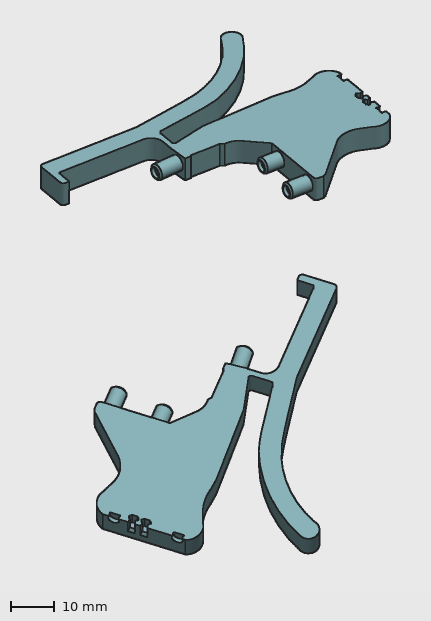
import cadquery as cq
import math

LENGTH = 77.55
THICKNESS = 6.1

LEG_LEFT = 19.55
LEG_WIDTH = 5.0
LEG_RIGHT = LEG_LEFT + LEG_WIDTH
LEG_TOP = 27.0
FOOT_TIP = 28.8
FOOT_HEIGHT = 1.9
FOOT_CORNER = 0.9
FOOT_INNER_CORNER = 0.5

WEB_BOTTOM = 28.6
WEB_TOP = 30.1
WEB_FILLET = 3.25

SHOULDER_BOTTOM = 48.8
SHOULDER_RIGHT = 59.95
SHOULDER_CORNER = 0.9

TILT = 4.0
TILTED_FACE_LEFT = 31.4
TILTED_FACE_RIGHT = 36.2
TILTED_FACE_RISE = (TILTED_FACE_RIGHT - TILTED_FACE_LEFT) * math.tan(math.radians(TILT))
BODY_RIGHT = 35.9

LIP_TOP = (TILTED_FACE_RIGHT, 30.6)
BODY_SIDE_START = (BODY_RIGHT, 30.8)
BODY_SIDE_END = (BODY_RIGHT, 38.85)
THROAT_START = (36.5, 39.8)
THROAT_MIDDLE = (36.8, 42.2)
THROAT_END = (37.85, 43.7)
SHOULDER_START = (42.4, SHOULDER_BOTTOM)
SHOULDER_TOP = (SHOULDER_RIGHT, 51.1)
SLOPE_START = (59.55, 51.9)

RIGHT_WAIST_START = (50.0, 61.7)
RIGHT_WAIST_MIDDLE = (48.55, 65.4)
RIGHT_WAIST_END = (48.9, 68.5)
RIGHT_CORNER_START = (50.2, 71.65)
RIGHT_CORNER_MIDDLE = (50.6, 74.9)
RIGHT_CORNER_END = (48.1, LENGTH)
LEFT_CORNER_START = (27.9, LENGTH)
LEFT_CORNER_MIDDLE = (25.35, 74.9)
LEFT_CORNER_END = (25.8, 71.65)
LEFT_WAIST_START = (27.0, 68.7)
LEFT_WAIST_MIDDLE = (27.5, 65.9)
LEFT_WAIST_END = (27.3, 62.4)

SLOT_SIDE_TOP = (27.1, 59.5)
SLOT_SIDE_BEND = (27.85, 39.55)
SLOT_RIGHT_START = (29.85, 30.95)
SLOT_RIGHT_MIDDLE = (29.8, 30.3)
SLOT_RIGHT_END = (29.15, WEB_TOP)
SLOT_LEFT_START = (24.8, WEB_TOP)
SLOT_LEFT_MIDDLE = (24.2, 30.3)
SLOT_LEFT_END = (24.0, 30.95)

INNER_BEND_START = (22.25, 42.0)
INNER_BEND_MIDDLE = (21.6, 45.45)
INNER_BEND_END = (20.8, 48.6)
INNER_ARC_MIDDLE = (13.7, 59.9)
TIP_START = (3.6, 67.5)
TIP_MIDDLE = (0.3, 66.3)
TIP_END = (2.1, 62.6)
OUTER_ARC_MIDDLE = (11.3, 55.2)
OUTER_BEND_START = (16.3, 45.7)
OUTER_BEND_MIDDLE = (17.05, 42.0)
OUTER_BEND_END = (17.7, 38.55)

PIN_DIAMETER = 4.0
PIN_CHAMFER = 0.5
PIN_BORE = 2.7
PIN_BORE_DEPTH = 1.0
PIN_Z = 3.4
PIN_ROOT = 0.8
THIRD_PIN_X = 33.4
THIRD_PIN_Y = WEB_BOTTOM + (THIRD_PIN_X - TILTED_FACE_LEFT) * math.tan(math.radians(TILT))
PINS = [
    (45.45, SHOULDER_BOTTOM, 5.05, 0.0),
    (56.9, SHOULDER_BOTTOM, 6.0, 0.0),
    (THIRD_PIN_X, THIRD_PIN_Y, 6.5, TILT),
]

RECESS_DIAMETER = 2.7
RECESS_DEPTH = 1.1
RECESS_AXIS_DROP = 0.7
RECESS_CENTRES = [29.9, 45.45]

SOCKET_CENTRES = [38.1, 41.1]
SOCKET_FLOOR_DEPTH = 3.1
SOCKET_LENGTH = 2.2
SOCKET_MOUTH = 1.7
SOCKET_NECK = 1.25
SOCKET_HEAD = 2.3
SOCKET_NECK_SETBACK = 0.85
SOCKET_HEAD_SETBACK = 1.5
SOCKET_END = 1.7
SOCKET_LEAD_IN = 0.7


def make_plate():
    """Extrude the curved arm, leg, web and body as one outline."""
    outline = (
        cq.Workplane("XY")
        .moveTo(LEG_LEFT + FOOT_CORNER, 0)
        .lineTo(FOOT_TIP - FOOT_CORNER, 0)
        .radiusArc((FOOT_TIP, FOOT_CORNER), -FOOT_CORNER)
        .lineTo(FOOT_TIP, FOOT_HEIGHT)
        .lineTo(LEG_RIGHT + FOOT_INNER_CORNER, FOOT_HEIGHT)
        .radiusArc((LEG_RIGHT, FOOT_HEIGHT + FOOT_INNER_CORNER), FOOT_INNER_CORNER)
        .lineTo(LEG_RIGHT, WEB_BOTTOM - WEB_FILLET)
        .radiusArc((LEG_RIGHT + WEB_FILLET, WEB_BOTTOM), WEB_FILLET)
        .lineTo(TILTED_FACE_LEFT, WEB_BOTTOM)
        .lineTo(TILTED_FACE_RIGHT, WEB_BOTTOM + TILTED_FACE_RISE)
        .lineTo(*LIP_TOP)
        .lineTo(*BODY_SIDE_START)
        .lineTo(*BODY_SIDE_END)
        .lineTo(*THROAT_START)
        .threePointArc(THROAT_MIDDLE, THROAT_END)
        .lineTo(*SHOULDER_START)
        .lineTo(SHOULDER_RIGHT - SHOULDER_CORNER, SHOULDER_BOTTOM)
        .radiusArc((SHOULDER_RIGHT, SHOULDER_BOTTOM + SHOULDER_CORNER), -SHOULDER_CORNER)
        .lineTo(*SHOULDER_TOP)
        .lineTo(*SLOPE_START)
        .lineTo(*RIGHT_WAIST_START)
        .threePointArc(RIGHT_WAIST_MIDDLE, RIGHT_WAIST_END)
        .lineTo(*RIGHT_CORNER_START)
        .threePointArc(RIGHT_CORNER_MIDDLE, RIGHT_CORNER_END)
        .lineTo(*LEFT_CORNER_START)
        .threePointArc(LEFT_CORNER_MIDDLE, LEFT_CORNER_END)
        .lineTo(*LEFT_WAIST_START)
        .threePointArc(LEFT_WAIST_MIDDLE, LEFT_WAIST_END)
        .lineTo(*SLOT_SIDE_TOP)
        .lineTo(*SLOT_SIDE_BEND)
        .lineTo(*SLOT_RIGHT_START)
        .threePointArc(SLOT_RIGHT_MIDDLE, SLOT_RIGHT_END)
        .lineTo(*SLOT_LEFT_START)
        .threePointArc(SLOT_LEFT_MIDDLE, SLOT_LEFT_END)
        .lineTo(*INNER_BEND_START)
        .threePointArc(INNER_BEND_MIDDLE, INNER_BEND_END)
        .threePointArc(INNER_ARC_MIDDLE, TIP_START)
        .threePointArc(TIP_MIDDLE, TIP_END)
        .threePointArc(OUTER_ARC_MIDDLE, OUTER_BEND_START)
        .threePointArc(OUTER_BEND_MIDDLE, OUTER_BEND_END)
        .lineTo(LEG_LEFT, LEG_TOP)
        .lineTo(LEG_LEFT, FOOT_CORNER)
        .radiusArc((LEG_LEFT + FOOT_CORNER, 0), -FOOT_CORNER)
        .close()
    )
    return outline.extrude(THICKNESS)


def make_pin(x, y, length, tilt):
    """Pin pointing to -Y, rooted inside the plate, with a chamfered and bored end."""
    pin = (
        cq.Workplane("XY")
        .circle(PIN_DIAMETER / 2)
        .extrude(length + PIN_ROOT)
        .faces(">Z")
        .chamfer(PIN_CHAMFER)
        .faces(">Z")
        .workplane()
        .hole(PIN_BORE, PIN_BORE_DEPTH)
    )
    return (
        pin.translate((0, 0, -PIN_ROOT))
        .rotate((0, 0, 0), (1, 0, 0), 90)
        .rotate((0, 0, 0), (0, 0, 1), tilt)
        .translate((x, y, PIN_Z))
    )


def make_recess(x):
    """Short cylinder along Y entering the far end face."""
    return (
        cq.Workplane("XZ", origin=(x, LENGTH, THICKNESS - RECESS_AXIS_DROP))
        .circle(RECESS_DIAMETER / 2)
        .extrude(RECESS_DEPTH)
    )


def make_socket(x):
    """Keyhole socket whose floor slopes down at the open edge."""
    floor = THICKNESS - SOCKET_FLOOR_DEPTH
    right_side = [
        (SOCKET_MOUTH / 2, 0),
        (SOCKET_NECK / 2, -SOCKET_NECK_SETBACK),
        (SOCKET_HEAD / 2, -SOCKET_HEAD_SETBACK),
        (SOCKET_HEAD / 2, -SOCKET_END),
        (SOCKET_NECK / 2, -SOCKET_LENGTH),
    ]
    left_side = [(-across, along) for across, along in reversed(right_side)]
    keyhole = (
        cq.Workplane("XY", origin=(x, LENGTH, floor - SOCKET_LEAD_IN))
        .polyline(right_side + left_side)
        .close()
        .extrude(SOCKET_FLOOR_DEPTH + SOCKET_LEAD_IN)
    )
    side_profile = (
        cq.Workplane("YZ", origin=(x - SOCKET_HEAD / 2, 0, 0))
        .moveTo(LENGTH - SOCKET_LENGTH, floor)
        .lineTo(LENGTH - SOCKET_LEAD_IN, floor)
        .lineTo(LENGTH, floor - SOCKET_LEAD_IN)
        .lineTo(LENGTH, THICKNESS)
        .lineTo(LENGTH - SOCKET_LENGTH, THICKNESS)
        .close()
        .extrude(SOCKET_HEAD)
    )
    return keyhole.intersect(side_profile)


result = make_plate()
for pin_placement in PINS:
    result = result.union(make_pin(*pin_placement))
for centre in RECESS_CENTRES:
    result = result.cut(make_recess(centre))
for centre in SOCKET_CENTRES:
    result = result.cut(make_socket(centre))